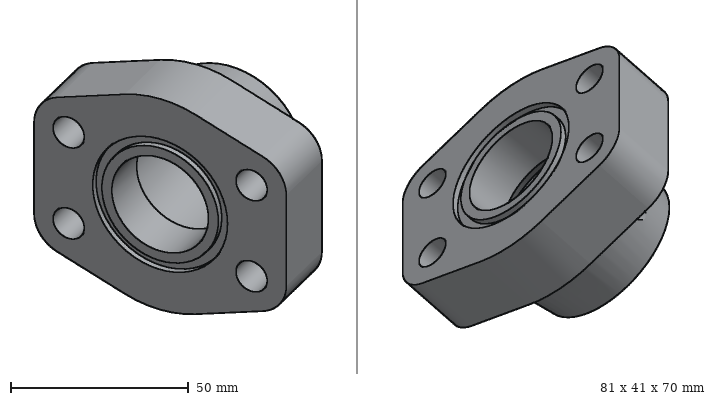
import cadquery as cq
import math

flange_width = 81.0
flange_height = 70.0
flange_thickness = 21.0
crown_radius = 35.0
bolt_spacing_x = 58.7
bolt_spacing_z = 30.2
bolt_hole_diameter = 10.0
bolt_head_diameter = 16.0

hub_length = 20.0
hub_base_radius = 27.25
hub_end_radius = 23.5
hub_flank_sag = 0.16

bore_diameter = 31.0
pipe_bore_diameter = 39.0
cone_start = 14.6
cone_half_angle = 45.0

groove_inner_diameter = 37.4
groove_outer_diameter = 43.3
groove_depth = 2.0

overall_length = flange_thickness + hub_length
corner_x = bolt_spacing_x / 2
corner_z = bolt_spacing_z / 2
corner_radius = flange_width / 2 - corner_x


def cylinder(diameter, start, end, x=0.0, z=0.0):
    """Round bar along +Y from start to end, centred on (x, z)."""
    base = cq.Workplane("XZ", origin=(x, start, z))
    return base.circle(diameter / 2).extrude(start - end)


def arc_point(center, radius, angle):
    """Point at the given angle on a circle in the XZ plane."""
    return (center[0] + radius * math.cos(angle), center[1] + radius * math.sin(angle))


def make_flange():
    """Plate with a round crown above and below, joined by tangent lines to round corners."""
    crown = (0.0, flange_height / 2 - crown_radius)
    corner = (corner_x, corner_z)

    rise = corner[1] - crown[1]
    distance = math.hypot(corner_x, rise)
    normal = math.atan2(rise, corner_x) + math.acos((crown_radius - corner_radius) / distance)

    quarter = (
        cq.Workplane("XZ")
        .moveTo(0, flange_height / 2)
        .threePointArc(
            arc_point(crown, crown_radius, (normal + math.pi / 2) / 2),
            arc_point(crown, crown_radius, normal),
        )
        .lineTo(*arc_point(corner, corner_radius, normal))
        .threePointArc(
            arc_point(corner, corner_radius, normal / 2),
            (flange_width / 2, corner_z),
        )
        .lineTo(flange_width / 2, 0)
        .lineTo(0, 0)
        .close()
        .extrude(-flange_thickness)
    )
    half = quarter.union(quarter.mirror("XY"))
    return half.union(half.mirror("YZ")).clean()


def make_hub():
    """Tapered neck with a slightly hollow flank, turned about the Y axis."""
    flank_middle = (
        (hub_base_radius + hub_end_radius) / 2 - hub_flank_sag,
        flange_thickness + hub_length / 2,
    )
    return (
        cq.Workplane("XY")
        .moveTo(0, flange_thickness)
        .lineTo(hub_base_radius, flange_thickness)
        .threePointArc(flank_middle, (hub_end_radius, overall_length))
        .lineTo(0, overall_length)
        .close()
        .revolve(360, (0, 0, 0), (0, 1, 0))
    )


def cut_bolt_holes(body):
    """Drill the four bolt holes and clear the hub flank for the bolt heads."""
    for x in (-corner_x, corner_x):
        for z in (-corner_z, corner_z):
            body = body.cut(cylinder(bolt_hole_diameter, 0, flange_thickness, x, z))
            body = body.cut(cylinder(bolt_head_diameter, flange_thickness, overall_length, x, z))
    return body


def make_bore():
    """Through bore that widens along a cone to the pipe bore at the hub end."""
    bore_radius = bore_diameter / 2
    pipe_radius = pipe_bore_diameter / 2
    cone_length = (pipe_radius - bore_radius) / math.tan(math.radians(cone_half_angle))
    cone_end = cone_start + cone_length
    return (
        cq.Workplane("XY")
        .lineTo(bore_radius, 0)
        .lineTo(bore_radius, cone_start)
        .lineTo(pipe_radius, cone_end)
        .lineTo(pipe_radius, overall_length)
        .lineTo(0, overall_length)
        .close()
        .revolve(360, (0, 0, 0), (0, 1, 0))
    )


def make_groove():
    """Ring-shaped seal groove in the sealing face."""
    outside = cylinder(groove_outer_diameter, 0, groove_depth)
    return outside.cut(cylinder(groove_inner_diameter, 0, groove_depth))


body = make_flange().union(make_hub())
body = cut_bolt_holes(body)
result = body.cut(make_bore()).cut(make_groove())